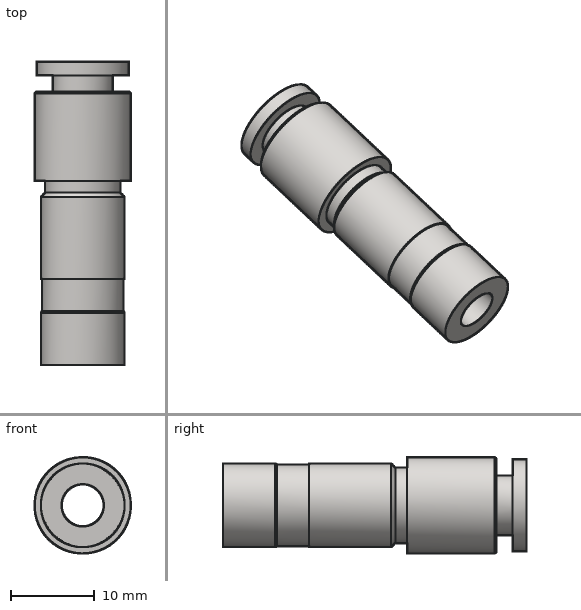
import cadquery as cq

plug_diameter = 10.0
groove_diameter = 9.77
collar_diameter = 9.05
body_diameter = 11.5
neck_diameter = 7.15
flange_diameter = 11.0
bore_diameter = 5.0

groove_start = 6.45
groove_end = 10.28
plug_end = 20.55
body_start = 21.97
body_end = 32.6
flange_start = 34.55
total_length = 36.2

plug_chamfer = 0.5
body_chamfer = 0.2
groove_bevel_length = 0.2
groove_depth = (plug_diameter - groove_diameter) / 2


def cylinder(diameter, start, end):
    """Solid cylinder on the Y axis between two stations."""
    plane = cq.Workplane("XZ", origin=(0, start, 0))
    return plane.circle(diameter / 2).extrude(start - end)


tip = cylinder(plug_diameter, 0, groove_start).faces(">Y").edges().chamfer(groove_bevel_length, groove_depth)
groove = cylinder(groove_diameter, groove_start, groove_end)
shank = cylinder(plug_diameter, groove_end, plug_end).faces(">Y").chamfer(plug_chamfer)
collar = cylinder(collar_diameter, plug_end, body_start)

body = cylinder(body_diameter, body_start, body_end).faces(">Y").chamfer(body_chamfer)
neck = cylinder(neck_diameter, body_end, flange_start)
flange = cylinder(flange_diameter, flange_start, total_length)

result = tip
for section in (groove, shank, collar, body, neck, flange):
    result = result.union(section)

result = result.cut(cylinder(bore_diameter, 0, total_length))